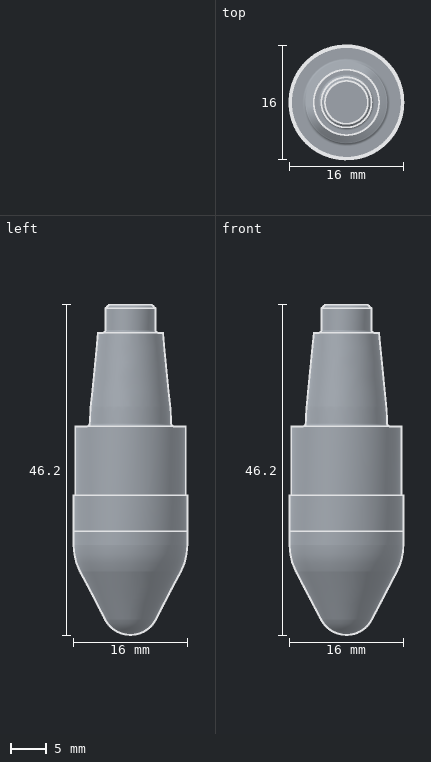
import cadquery as cq
import math

total_height = 46.2
nose_radius = 16.0 / 2
joint_z = 14.55

nose_sphere_z = 12.6
tip_radius = 4.0

collar_top_z = 19.6
sleeve_radius = 15.5 / 2
sleeve_top_z = 29.2
taper_base_radius = 5.6
taper_base_z = 31.95
taper_top_radius = 4.57
taper_top_z = 42.25
pin_radius = 7.0 / 2
pin_chamfer = 0.5
root_fillet = 0.4


def make_nose():
    """Revolve the rounded conical nose about Z."""
    slope = math.asin((nose_radius - tip_radius) / (nose_sphere_z - tip_radius))
    tip_arc_middle = (slope + math.pi / 2) / 2

    def sphere_point(radius, center_z, angle):
        """Profile point at an angle below the sphere's equator."""
        return (radius * math.cos(angle), center_z - radius * math.sin(angle))

    profile = (
        cq.Workplane("XZ")
        .moveTo(0, joint_z)
        .lineTo(nose_radius, joint_z)
        .lineTo(nose_radius, nose_sphere_z)
        .threePointArc(
            sphere_point(nose_radius, nose_sphere_z, slope / 2),
            sphere_point(nose_radius, nose_sphere_z, slope),
        )
        .lineTo(*sphere_point(tip_radius, tip_radius, slope))
        .threePointArc(sphere_point(tip_radius, tip_radius, tip_arc_middle), (0, 0))
        .close()
    )
    return profile.revolve(360, (0, 0), (0, 1))


def make_shank():
    """Revolve the stepped shank, with concave fillets at the roots of the neck and pin."""
    taper_angle = math.atan((taper_base_radius - taper_top_radius) / (taper_top_z - taper_base_z))
    neck_base_z = sleeve_top_z + root_fillet
    bulge_radius = (taper_base_z - neck_base_z) / math.sin(taper_angle)
    neck_base_radius = taper_base_radius + bulge_radius * (1 - math.cos(taper_angle))
    bulge_middle = (
        neck_base_radius - bulge_radius * (1 - math.cos(taper_angle / 2)),
        neck_base_z + bulge_radius * math.sin(taper_angle / 2),
    )

    profile = (
        cq.Workplane("XZ")
        .moveTo(0, joint_z)
        .lineTo(nose_radius, joint_z)
        .lineTo(nose_radius, collar_top_z)
        .lineTo(sleeve_radius, collar_top_z)
        .lineTo(sleeve_radius, sleeve_top_z)
        .lineTo(neck_base_radius + root_fillet, sleeve_top_z)
        .radiusArc((neck_base_radius, neck_base_z), root_fillet)
        .threePointArc(bulge_middle, (taper_base_radius, taper_base_z))
        .lineTo(taper_top_radius, taper_top_z)
        .lineTo(pin_radius + root_fillet, taper_top_z)
        .radiusArc((pin_radius, taper_top_z + root_fillet), root_fillet)
        .lineTo(pin_radius, total_height - pin_chamfer)
        .lineTo(pin_radius - pin_chamfer, total_height)
        .lineTo(0, total_height)
        .close()
    )
    return profile.revolve(360, (0, 0), (0, 1))


nose = make_nose()
shank = make_shank()
result = cq.Compound.makeCompound([nose.val(), shank.val()])